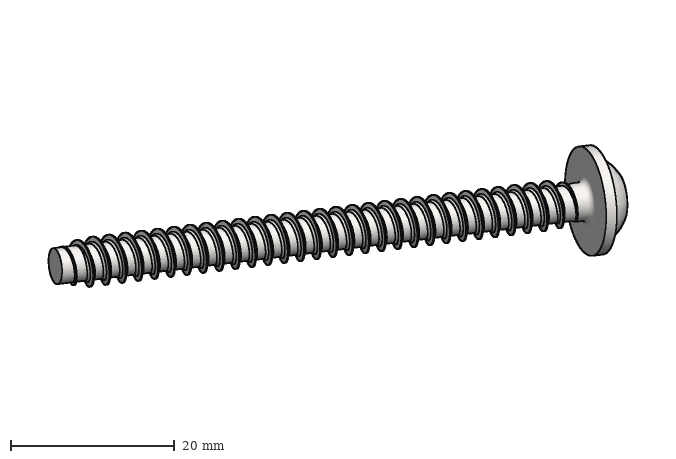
import cadquery as cq
import math


total_length = 74.2
head_height = 4.2
flange_radius = 6.75
flange_thickness = 1.4
dome_base_radius = 5.6
dome_top_radius = 3.3
dome_bulge = 0.3

shank_length = total_length - head_height
core_radius = 2.2
neck_radius = 2.4
fillet_radius = 0.75
neck_end = 1.5
neck_taper_end = 2.2

full_turns = 29
full_thread_length = 62.0
pitch = full_thread_length / full_turns
full_thread_start = 3.8
crest_radius = 3.05
crest_width = 0.15
ridge_radius = 2.45
blade_root_width = 0.41
root_overlap = 0.15
root_radius = core_radius - root_overlap
root_width = 1.5
runout_turns = 1.4
runout_burial = 0.02
runout_sink = crest_radius - core_radius + runout_burial


def make_body():
    """Head, neck and threadless core as one turned profile."""
    fillet_corner = neck_radius + fillet_radius
    arc_drop = fillet_radius * (1 - math.sqrt(0.5))
    profile = (
        cq.Workplane("XZ")
        .moveTo(0, -shank_length)
        .lineTo(core_radius, -shank_length)
        .lineTo(core_radius, -neck_taper_end)
        .lineTo(neck_radius, -neck_end)
        .lineTo(neck_radius, -fillet_radius)
        .threePointArc((neck_radius + arc_drop, -arc_drop), (fillet_corner, 0))
        .lineTo(flange_radius, 0)
        .lineTo(flange_radius, flange_thickness)
        .lineTo(dome_base_radius, flange_thickness)
        .sagittaArc((dome_top_radius, head_height), -dome_bulge)
        .lineTo(0, head_height)
        .close()
    )
    return profile.revolve(360, (0, 0, 0), (0, 1, 0))


def sweep_thread(helix):
    """Right-hand thread along a helix that starts on the +X side at Z = 0."""
    upper_half = [
        (root_radius, root_width / 2),
        (ridge_radius, blade_root_width / 2),
        (crest_radius, crest_width / 2),
    ]
    lower_half = [(radius, -offset) for radius, offset in reversed(upper_half)]
    section = cq.Workplane("XZ").polyline(upper_half + lower_half).close()
    return section.sweep(cq.Workplane(helix), isFrenet=True)


thread_bottom = full_thread_start - shank_length
thread_top = thread_bottom + full_thread_length
full_helix = cq.Wire.makeHelix(pitch, full_thread_length, core_radius)
full_thread = sweep_thread(full_helix).translate((0, 0, thread_bottom))

runout_length = runout_turns * pitch
sink_angle = math.degrees(math.atan(runout_sink / runout_length))
sinking_helix = cq.Wire.makeHelix(pitch, runout_length, core_radius, angle=-sink_angle)
runout = sweep_thread(sinking_helix)
head_runout = runout.translate((0, 0, thread_top))
tip_runout = runout.rotate((0, 0, 0), (1, 0, 0), 180).translate((0, 0, thread_bottom))

screw = make_body()
for thread_part in (full_thread, head_runout, tip_runout):
    screw = screw.union(thread_part, clean=False)
result = screw.rotate((0, 0, 0), (1, 0, 0), -90).solids()